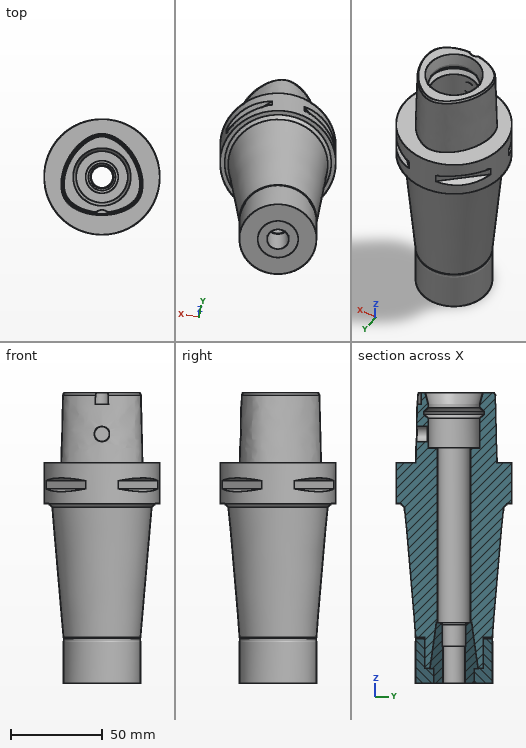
import cadquery as cq
import math


TAPER_LENGTH = 38.0
TAPER_RADIUS = 22.2
TAPER_SLOPE = 1 / 40
LOBE_HEIGHT = 1.33
OUTLINE_STEPS = 48
TAPER_CHAMFER_HEIGHT = 1.3
TAPER_CHAMFER_WIDTH = 0.7

FLANGE_RADIUS = 31.5
FLANGE_THICKNESS = 22.4
GRIP_FLOOR_DISTANCE = 27.6
GRIP_CENTRE_Z = -12.1
GRIP_FLOOR_WIDTH = 4.3
GRIP_FLANK_ANGLE = 22.0
GRIP_ANGLES = (45, 135, 225, 315)

TOTAL_LENGTH = 158.0
NOSE_Z = TAPER_LENGTH - TOTAL_LENGTH
RELIEF_TOP_RADIUS = 29.0
RELIEF_HEIGHT = 1.9
SHANK_TOP_RADIUS = 27.1
SHANK_END_RADIUS = 21.0
SHANK_END_Z = -95.0

NECK_RADIUS = 16.0
NECK_END_Z = NOSE_Z + 8.0

NUT_RADIUS = 21.0
NUT_GAP = 0.6
NUT_COLLAR_RADIUS = 20.9
NUT_COLLAR_HEIGHT = 1.9
NUT_COLLAR_STEP = 0.4
NUT_MOUTH_RADIUS = 11.0

COLLET_BACK_Z = NOSE_Z + 33.0
COLLET_FRONT_RADIUS = 13.0
COLLET_TAPER_ANGLE = 8.0
COLLET_BACK_RADIUS = COLLET_FRONT_RADIUS - (
    (COLLET_BACK_Z - NECK_END_Z) * math.tan(math.radians(COLLET_TAPER_ANGLE))
)
COLLET_BORE_RADIUS = 5.9
COLLET_BORE_LENGTH = 20.0
COLLET_RELIEF_RADIUS = 6.3
COLLET_BACK_CHAMFER = 1.1

MOUTH_RADIUS = 15.7
MOUTH_DEPTH = 6.2
BORE_RADIUS = 14.0
LIP_END_DEPTH = 8.2
GROOVE_RADIUS = 16.4
GROOVE_START_DEPTH = 10.4
GROOVE_END_DEPTH = 11.8
GROOVE_FOOT_DEPTH = 13.8
BORE_DEPTH = 30.0
PASSAGE_RADIUS = 8.85

KEYWAY_RADIUS = 4.2
KEYWAY_DEPTH = 6.3
KEYWAY_INNER_Y = -17.9
SIDE_HOLE_RADIUS = 4.1
SIDE_HOLE_Z = 15.5
SIDE_HOLE_FLOOR_Y = -14.5


def lobed_point(angle, radius):
    """Point of the three-lobed outline whose normal stands at this angle from the lobe on +Y."""
    reach = radius + LOBE_HEIGHT * math.cos(3 * angle)
    slide = -3 * LOBE_HEIGHT * math.sin(3 * angle)
    return (
        -reach * math.sin(angle) - slide * math.cos(angle),
        reach * math.cos(angle) - slide * math.sin(angle),
    )


def lobed_section(z, radius):
    """Closed outline of constant width 2 * radius, with one lobe towards +Y and a seam on -Y."""
    angles = [math.pi + 2 * math.pi * step / OUTLINE_STEPS for step in range(OUTLINE_STEPS)]
    points = [cq.Vector(*lobed_point(angle, radius), z) for angle in angles]
    return cq.Wire.assembleEdges([cq.Edge.makeSpline(points, periodic=True)])


def lobed_frustum(bottom_z, bottom_radius, top_z, top_radius):
    sections = [lobed_section(bottom_z, bottom_radius), lobed_section(top_z, top_radius)]
    return cq.Workplane(cq.Solid.makeLoft(sections, True))


def revolved(profile):
    """Solid of revolution about Z from (radius, z) points."""
    return cq.Workplane("XZ").polyline(profile).close().revolve(360, (0, 0, 0), (0, 1, 0))


def polygon_taper():
    chamfer_z = TAPER_LENGTH - TAPER_CHAMFER_HEIGHT
    chamfer_radius = TAPER_RADIUS - TAPER_SLOPE * chamfer_z
    taper = lobed_frustum(0, TAPER_RADIUS, chamfer_z, chamfer_radius)
    tip = lobed_frustum(chamfer_z, chamfer_radius, TAPER_LENGTH, chamfer_radius - TAPER_CHAMFER_WIDTH)
    return taper.union(tip)


def flange_shank_and_neck():
    return revolved([
        (0, 0),
        (FLANGE_RADIUS, 0),
        (FLANGE_RADIUS, -FLANGE_THICKNESS),
        (RELIEF_TOP_RADIUS, -FLANGE_THICKNESS),
        (SHANK_TOP_RADIUS, -FLANGE_THICKNESS - RELIEF_HEIGHT),
        (SHANK_END_RADIUS, SHANK_END_Z),
        (NECK_RADIUS, SHANK_END_Z),
        (NECK_RADIUS, NECK_END_Z),
        (0, NECK_END_Z),
    ])


def grip_groove(angle):
    """Straight groove across the flange rim, with flanks opening outwards."""
    depth = FLANGE_RADIUS - GRIP_FLOOR_DISTANCE
    half_floor = GRIP_FLOOR_WIDTH / 2
    half_mouth = half_floor + depth * math.tan(math.radians(GRIP_FLANK_ANGLE))
    return (
        cq.Workplane("XZ")
        .polyline([
            (GRIP_FLOOR_DISTANCE, GRIP_CENTRE_Z - half_floor),
            (FLANGE_RADIUS, GRIP_CENTRE_Z - half_mouth),
            (FLANGE_RADIUS, GRIP_CENTRE_Z + half_mouth),
            (GRIP_FLOOR_DISTANCE, GRIP_CENTRE_Z + half_floor),
        ])
        .close()
        .extrude(FLANGE_RADIUS, both=True)
        .rotate((0, 0, 0), (0, 0, 1), angle)
    )


def holder_bore():
    outline = [
        (0, 0),
        (MOUTH_RADIUS, 0),
        (BORE_RADIUS, MOUTH_DEPTH),
        (BORE_RADIUS, LIP_END_DEPTH),
        (GROOVE_RADIUS, GROOVE_START_DEPTH),
        (GROOVE_RADIUS, GROOVE_END_DEPTH),
        (BORE_RADIUS, GROOVE_FOOT_DEPTH),
        (BORE_RADIUS, BORE_DEPTH),
        (PASSAGE_RADIUS, BORE_DEPTH),
        (PASSAGE_RADIUS, TOTAL_LENGTH),
        (0, TOTAL_LENGTH),
    ]
    return revolved([(radius, TAPER_LENGTH - depth) for radius, depth in outline])


def collet_seat():
    return revolved([
        (0, COLLET_BACK_Z),
        (COLLET_BACK_RADIUS, COLLET_BACK_Z),
        (COLLET_FRONT_RADIUS, NECK_END_Z),
        (0, NECK_END_Z),
    ])


def keyway():
    return (
        cq.Workplane("XY", origin=(0, KEYWAY_INNER_Y - KEYWAY_RADIUS, TAPER_LENGTH - KEYWAY_DEPTH))
        .circle(KEYWAY_RADIUS)
        .extrude(KEYWAY_DEPTH)
    )


def side_hole():
    return (
        cq.Workplane("XZ", origin=(0, SIDE_HOLE_FLOOR_Y, SIDE_HOLE_Z))
        .circle(SIDE_HOLE_RADIUS)
        .extrude(FLANGE_RADIUS + SIDE_HOLE_FLOOR_Y)
    )


def make_holder():
    body = polygon_taper().union(flange_shank_and_neck())
    for angle in GRIP_ANGLES:
        body = body.cut(grip_groove(angle))
    return body.cut(holder_bore()).cut(collet_seat()).cut(keyway()).cut(side_hole())


def make_nut():
    top_z = SHANK_END_Z - NUT_GAP
    collar_end_z = top_z - NUT_COLLAR_HEIGHT
    return revolved([
        (NECK_RADIUS, top_z),
        (NUT_COLLAR_RADIUS, top_z),
        (NUT_COLLAR_RADIUS, collar_end_z + NUT_COLLAR_STEP),
        (NUT_RADIUS, collar_end_z),
        (NUT_RADIUS, NOSE_Z),
        (NUT_MOUTH_RADIUS, NOSE_Z),
        (NUT_MOUTH_RADIUS, NECK_END_Z),
        (NECK_RADIUS, NECK_END_Z),
    ])


def make_collet():
    """Cone held between the seat and the nut, with a head that fills the nut mouth."""
    bore_end_z = NOSE_Z + COLLET_BORE_LENGTH
    return revolved([
        (COLLET_BORE_RADIUS, NOSE_Z),
        (NUT_MOUTH_RADIUS, NOSE_Z),
        (NUT_MOUTH_RADIUS, NECK_END_Z),
        (COLLET_FRONT_RADIUS, NECK_END_Z),
        (COLLET_BACK_RADIUS, COLLET_BACK_Z),
        (COLLET_RELIEF_RADIUS + COLLET_BACK_CHAMFER, COLLET_BACK_Z),
        (COLLET_RELIEF_RADIUS, COLLET_BACK_Z - COLLET_BACK_CHAMFER),
        (COLLET_RELIEF_RADIUS, bore_end_z),
        (COLLET_BORE_RADIUS, bore_end_z),
    ])


holder = make_holder()
nut = make_nut()
collet = make_collet()

result = cq.Compound.makeCompound([holder.val(), nut.val(), collet.val()])